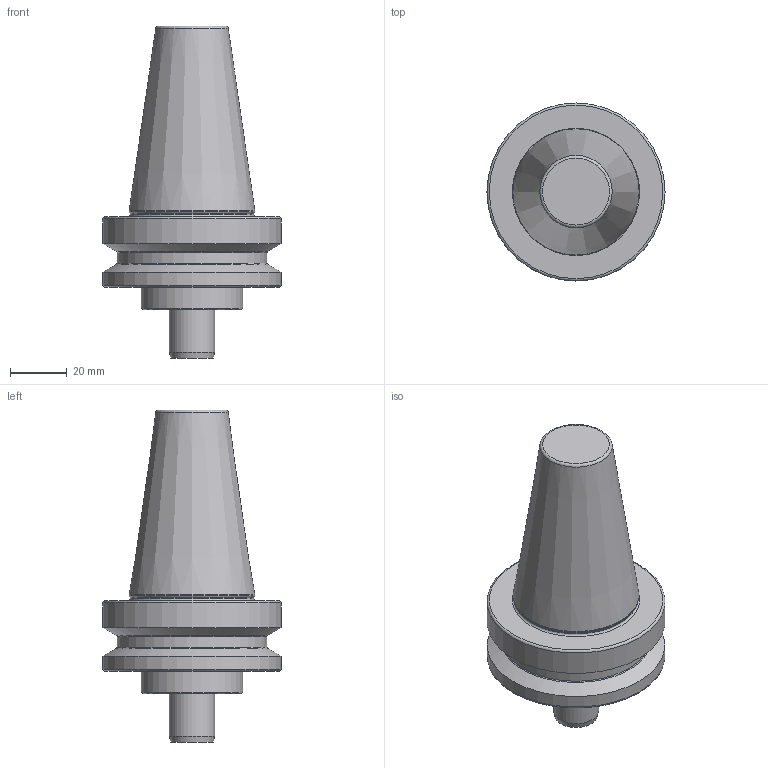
import cadquery as cq
import math


GAUGE_DIAMETER = 44.45
TAPER_RATIO = 7 / 24
TAPER_LENGTH = 65.4
TAPER_END_ROUND = 1.0

RELIEF_DIAMETER = 43.75
RELIEF_LAND_END = -0.35
RELIEF_WAIST_TOP = -0.95
RELIEF_WAIST_BOTTOM = -1.25
RELIEF_FOOT_DIAMETER = 45.0

FLANGE_DIAMETER = 62.95
FLANGE_TOP = -2.0
FLANGE_BOTTOM = -27.0
FLANGE_EDGE_ROUND = 0.8
GROOVE_CENTER = -16.6
GROOVE_FLOOR_DIAMETER = 53.0
GROOVE_MOUTH_WIDTH = 10.0
GROOVE_FLOOR_ROUND = 0.45
GROOVE_WALL_ANGLE = 30.0

BOSS_DIAMETER = 36.0
BOSS_BOTTOM = -35.0
BOSS_EDGE_CHAMFER = 0.4
PIN_DIAMETER = 16.0
PIN_LENGTH = 17.0
PIN_CHAMFER_RADIAL = 0.5
PIN_CHAMFER_HEIGHT = 2.0


def revolve(profile):
    """Turn a closed (radius, height) profile about the Z axis."""
    return profile.close().revolve(360, (0, 0, 0), (0, 1, 0))


def make_taper():
    small_radius = (GAUGE_DIAMETER - TAPER_LENGTH * TAPER_RATIO) / 2
    profile = (
        cq.Workplane("XZ")
        .lineTo(GAUGE_DIAMETER / 2, 0)
        .lineTo(small_radius, TAPER_LENGTH)
        .lineTo(0, TAPER_LENGTH)
    )
    return revolve(profile).faces(">Z").edges().fillet(TAPER_END_ROUND)


def make_relief():
    """Neck below the taper: a short land, a narrowing cone, a waist and a flare to the flange."""
    waist_radius = RELIEF_DIAMETER / 2
    foot_radius = RELIEF_FOOT_DIAMETER / 2
    profile = (
        cq.Workplane("XZ")
        .lineTo(GAUGE_DIAMETER / 2, 0)
        .lineTo(GAUGE_DIAMETER / 2, RELIEF_LAND_END)
        .lineTo(waist_radius, RELIEF_WAIST_TOP)
        .lineTo(waist_radius, RELIEF_WAIST_BOTTOM)
        .tangentArcPoint((foot_radius, FLANGE_TOP), relative=False)
        .lineTo(0, FLANGE_TOP)
    )
    return revolve(profile)


def make_flange():
    thickness = FLANGE_TOP - FLANGE_BOTTOM
    disc = cq.Workplane("XY", origin=(0, 0, FLANGE_BOTTOM)).circle(FLANGE_DIAMETER / 2).extrude(thickness)
    disc = disc.edges().fillet(FLANGE_EDGE_ROUND)
    return disc.cut(make_groove())


def make_groove():
    """Ring of material removed by the groove, rounded where its walls meet its floor."""
    rim_radius = FLANGE_DIAMETER / 2
    floor_radius = GROOVE_FLOOR_DIAMETER / 2
    wall_rise = (rim_radius - floor_radius) * math.tan(math.radians(GROOVE_WALL_ANGLE))
    half_mouth = GROOVE_MOUTH_WIDTH / 2
    half_floor = half_mouth - wall_rise
    profile = (
        cq.Workplane("XZ")
        .moveTo(rim_radius, GROOVE_CENTER + half_mouth)
        .lineTo(floor_radius, GROOVE_CENTER + half_floor)
        .lineTo(floor_radius, GROOVE_CENTER - half_floor)
        .lineTo(rim_radius, GROOVE_CENTER - half_mouth)
    )
    ring = revolve(profile)
    floor_edges = cq.selectors.RadiusNthSelector(0)
    return ring.edges("%CIRCLE").edges(floor_edges).fillet(GROOVE_FLOOR_ROUND)


def make_boss():
    height = FLANGE_BOTTOM - BOSS_BOTTOM
    boss = cq.Workplane("XY", origin=(0, 0, BOSS_BOTTOM)).circle(BOSS_DIAMETER / 2).extrude(height)
    return boss.faces("<Z").edges().chamfer(BOSS_EDGE_CHAMFER)


def make_pin():
    radius = PIN_DIAMETER / 2
    tip = BOSS_BOTTOM - PIN_LENGTH
    profile = (
        cq.Workplane("XZ")
        .moveTo(0, BOSS_BOTTOM)
        .lineTo(radius, BOSS_BOTTOM)
        .lineTo(radius, tip + PIN_CHAMFER_HEIGHT)
        .lineTo(radius - PIN_CHAMFER_RADIAL, tip)
        .lineTo(0, tip)
    )
    return revolve(profile)


result = make_taper()
for section in (make_relief(), make_flange(), make_boss(), make_pin()):
    result = result.union(section)